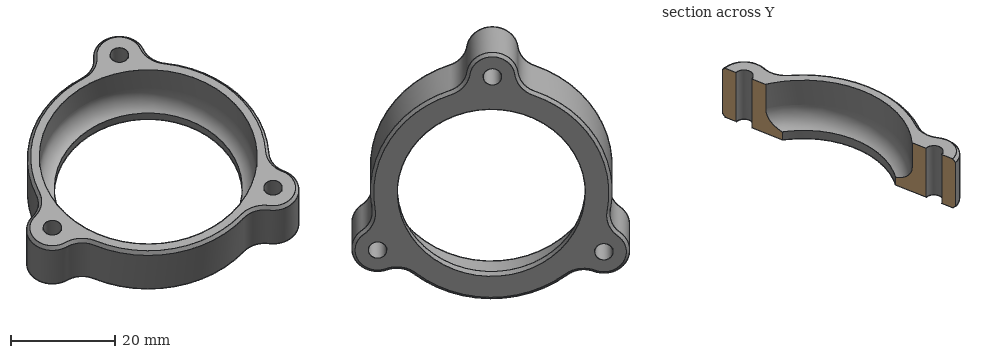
import cadquery as cq
import math

height = 12.0
ring_radius = 23.2
edge_chamfer = 0.65

lug_count = 3
first_lug_angle = -90
lug_distance = 25.05
lug_radius = 4.95
lug_blend_radius = 5.0
screw_hole_diameter = 3.5
position_tolerance = 0.005

opening_diameter = 36.0
bore_diameter = 41.75
opening_height = 2.0
seat_radius = 4.15

lug_centres = []
for index in range(lug_count):
    angle = math.radians(first_lug_angle + index * 360 / lug_count)
    lug_centres.append((lug_distance * math.cos(angle), lug_distance * math.sin(angle)))


def is_lug_corner(edge):
    """True for an upright edge where a lug meets the ring, not for a cylinder seam."""
    point = (edge.Center().x, edge.Center().y)
    on_ring = abs(math.hypot(*point) - ring_radius) < position_tolerance
    on_lug = any(
        abs(math.dist(point, centre) - lug_radius) < position_tolerance
        for centre in lug_centres
    )
    return on_ring and on_lug


def make_body():
    """Ring blank with lugs blended in and both outer rims chamfered."""
    ring = cq.Workplane("XY").circle(ring_radius).extrude(height)
    lugs = cq.Workplane("XY").pushPoints(lug_centres).circle(lug_radius).extrude(height)
    body = ring.union(lugs)
    body = body.edges("|Z").filter(is_lug_corner).fillet(lug_blend_radius)
    return body.faces("<Z or >Z").chamfer(edge_chamfer)


def make_bore():
    """Revolved cutter for the opening, the rounded seat and the wide bore."""
    opening_radius = opening_diameter / 2
    bore_radius = bore_diameter / 2
    seat_centre_radius = bore_radius - seat_radius
    seat_start_offset = opening_radius - seat_centre_radius
    seat_drop = math.sqrt(seat_radius**2 - seat_start_offset**2)
    seat_top = opening_height + seat_drop
    middle_angle = math.atan2(seat_drop, seat_start_offset) / 2
    seat_middle = (
        seat_centre_radius + seat_radius * math.cos(middle_angle),
        seat_top - seat_radius * math.sin(middle_angle),
    )
    profile = (
        cq.Workplane("XZ")
        .lineTo(opening_radius, 0)
        .lineTo(opening_radius, opening_height)
        .threePointArc(seat_middle, (bore_radius, seat_top))
        .lineTo(bore_radius, height)
        .lineTo(0, height)
        .close()
    )
    return profile.revolve(360, (0, 0, 0), (0, 1, 0))


def make_screw_holes():
    """Through holes on the lug centres."""
    return (
        cq.Workplane("XY")
        .pushPoints(lug_centres)
        .circle(screw_hole_diameter / 2)
        .extrude(height)
    )


result = make_body().cut(make_bore()).cut(make_screw_holes())